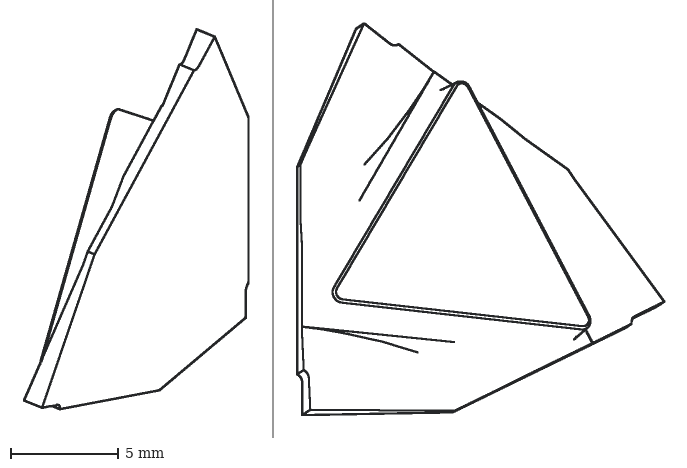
import cadquery as cq
import math

FACE = cq.Plane(origin=(0, 0, 0), xDir=(0, -1, 0), normal=(-1, 0, 0))
SIDES = 3
SIDE_ANGLE = 360 / SIDES

edge_distance = 7.09
corner_y = 3.27
tip_x, tip_y = -6.84, -8.72
notch_radius = 0.42
notch_y = -7.15

flat_height = 0.38
pad_height = 0.60
tip_height = 1.00
total_height = 3.00

tip_facet_angle = 235.6
crease_distance = 6.43
wedge_half_width = 1.5 * edge_distance

foot_radius = 23.9
foot_crest_x, foot_crest_y = -6.40, -4.72
flank_start_x = -8.0
foot_end_x = 3.6
rim_start_y = -4.62
toe_width = 0.12
toe_rise = 0.015
flank_kink_x = 0.55
rim_kink_y = -4.54
rim_end_x = 5.0
rim_end_y = -6.04

boss_inradius = 4.08
boss_corner_radius = 0.60
boss_draft = 3.5
boss_fillet = 0.48
boss_edge_break = 0.12
level_tolerance = 0.01


def rotated(point, side):
    """Turn a local point about the centre to the given side."""
    angle = math.radians(SIDE_ANGLE * side)
    x, y = point
    return (
        x * math.cos(angle) - y * math.sin(angle),
        x * math.sin(angle) + y * math.cos(angle),
    )


def make_outline_prism():
    """Plate outline extruded over the full height."""
    notch_center_x = tip_x - notch_radius
    end_angle = math.acos((-edge_distance - notch_center_x) / notch_radius)

    def notch_point(angle):
        return (
            notch_center_x + notch_radius * math.cos(angle),
            notch_y + notch_radius * math.sin(angle),
        )

    sketch = cq.Workplane(FACE).moveTo(-edge_distance, corner_y)
    for side in range(SIDES):
        sketch = sketch.lineTo(*rotated(notch_point(end_angle), side))
        sketch = sketch.threePointArc(
            rotated(notch_point(end_angle / 2), side),
            rotated(notch_point(0), side),
        )
        sketch = sketch.lineTo(*rotated((tip_x, tip_y), side))
        if side < SIDES - 1:
            sketch = sketch.lineTo(*rotated((-edge_distance, corner_y), side + 1))
    return sketch.close().extrude(total_height)


def foot_point(x, inset):
    """Point on the foot arc of a pad flank, moved in towards the boss by the inset."""
    radius = foot_radius + inset
    center_y = foot_crest_y - foot_radius
    return (x, center_y + math.sqrt(radius**2 - (x - foot_crest_x) ** 2))


def foot_wire(height, inset):
    """Closed pad section with two arcs per side, split opposite the rim kink."""
    stations = [flank_start_x, flank_kink_x, foot_end_x]
    start = foot_point(flank_start_x, inset)
    sketch = cq.Workplane(FACE).workplane(offset=height).moveTo(*start)
    for side in range(SIDES):
        for left, right in zip(stations, stations[1:]):
            sketch = sketch.threePointArc(
                rotated(foot_point((left + right) / 2, inset), side),
                rotated(foot_point(right, inset), side),
            )
        if side < SIDES - 1:
            sketch = sketch.lineTo(*rotated(start, side + 1))
    return sketch.close().wires().val()


def rim_wire():
    """Closed outline of the pad top with two lines per side."""
    side_points = [
        (flank_start_x, rim_start_y),
        (flank_kink_x, rim_kink_y),
        (rim_end_x, rim_end_y),
    ]
    points = [rotated(point, side) for side in range(SIDES) for point in side_points]
    sketch = cq.Workplane(FACE).workplane(offset=pad_height).polyline(points)
    return sketch.close().wires().val()


def make_pad():
    """Pad with a straight base, a shallow toe band and ramps up to the rim."""
    sections = [
        foot_wire(0, 0),
        foot_wire(flat_height, 0),
        foot_wire(flat_height + toe_rise, toe_width),
        rim_wire(),
    ]
    return cq.Workplane(cq.Solid.makeLoft(sections, True))


def make_boss():
    """Drafted triangle with rounded corners, a broken top edge and a flared root."""
    corner_distance = 2 * boss_inradius
    corners = [rotated((0, corner_distance), side) for side in range(SIDES)]
    profile = cq.Sketch().polygon(corners + corners[:1]).vertices().fillet(boss_corner_radius)
    slab = cq.Workplane(FACE).circle(2 * corner_distance).extrude(pad_height)
    boss = (
        cq.Workplane(FACE)
        .workplane(offset=pad_height)
        .placeSketch(profile)
        .extrude(total_height - pad_height, taper=boss_draft)
        .faces("<X")
        .edges()
        .chamfer(boss_edge_break)
    )
    root_finder = cq.selectors.BoxSelector(
        (-pad_height - level_tolerance, -corner_distance, -corner_distance),
        (-pad_height + level_tolerance, corner_distance, corner_distance),
        boundingbox=True,
    )
    return slab.union(boss).edges(root_finder).fillet(boss_fillet).cut(slab)


def make_tip_facet():
    """Wedge climbing from the crease to one outer tip."""
    angle = math.radians(tip_facet_angle)
    climb_x, climb_y = math.cos(angle), math.sin(angle)
    tip_distance = tip_x * climb_x + tip_y * climb_y
    profile_plane = cq.Plane(
        origin=(0, 0, 0), xDir=(0, -climb_x, climb_y), normal=(0, -climb_y, -climb_x)
    )
    profile = [
        (crease_distance, 0),
        (crease_distance, flat_height),
        (tip_distance, tip_height),
        (tip_distance, 0),
    ]
    return (
        cq.Workplane(profile_plane).polyline(profile).close().extrude(wedge_half_width, both=True)
    )


plate = cq.Workplane(FACE).circle(2 * edge_distance).extrude(flat_height)
tip_facet = make_tip_facet()
for side in range(SIDES):
    plate = plate.union(tip_facet.rotate((0, 0, 0), (1, 0, 0), SIDE_ANGLE * side))
result = plate.union(make_pad()).union(make_boss()).intersect(make_outline_prism())